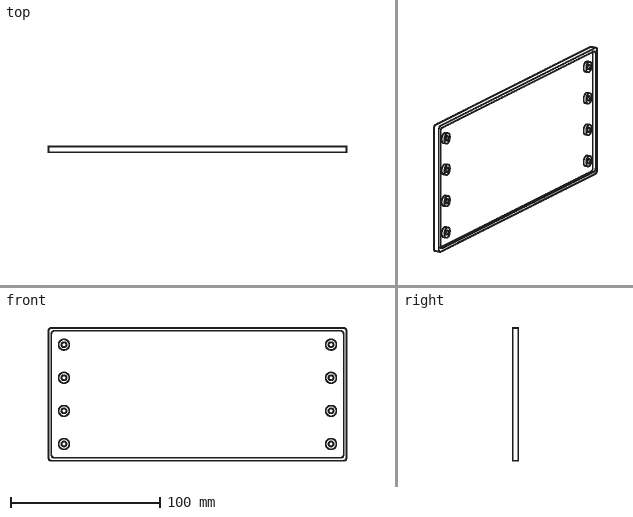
import cadquery as cq

length = 199.6
thickness = 4.0
height = 89.0
corner_radius = 2.0

rim_width = 2.0
recess_depth = 2.0
recess_corner_radius = 2.0

boss_diameter = 7.2
hole_diameter = 3.2
boss_edge_distance = 10.4
boss_pitch = 22.2
bosses_per_column = 4
column_spacing = length - 2 * boss_edge_distance


def rounded_block(size_x, size_z, depth, radius):
    """Block rising from Y = 0 toward -Y, with its four Y-direction edges rounded."""
    return (
        cq.Workplane("XZ")
        .rect(size_x, size_z)
        .extrude(depth)
        .edges("|Y")
        .fillet(radius)
    )


def cylinders_at_bosses(diameter, depth):
    """Cylinders from Y = 0 toward -Y at every boss position."""
    return (
        cq.Workplane("XZ")
        .rarray(column_spacing, boss_pitch, 2, bosses_per_column)
        .circle(diameter / 2)
        .extrude(depth)
    )


plate = rounded_block(length, height, thickness, corner_radius)

floor_thickness = thickness - recess_depth
recess = rounded_block(
    length - 2 * rim_width,
    height - 2 * rim_width,
    recess_depth,
    recess_corner_radius,
).translate((0, -floor_thickness, 0))

bosses = cylinders_at_bosses(boss_diameter, thickness)
holes = cylinders_at_bosses(hole_diameter, thickness)

result = plate.cut(recess).union(bosses).cut(holes).translate((0, thickness / 2, 0))